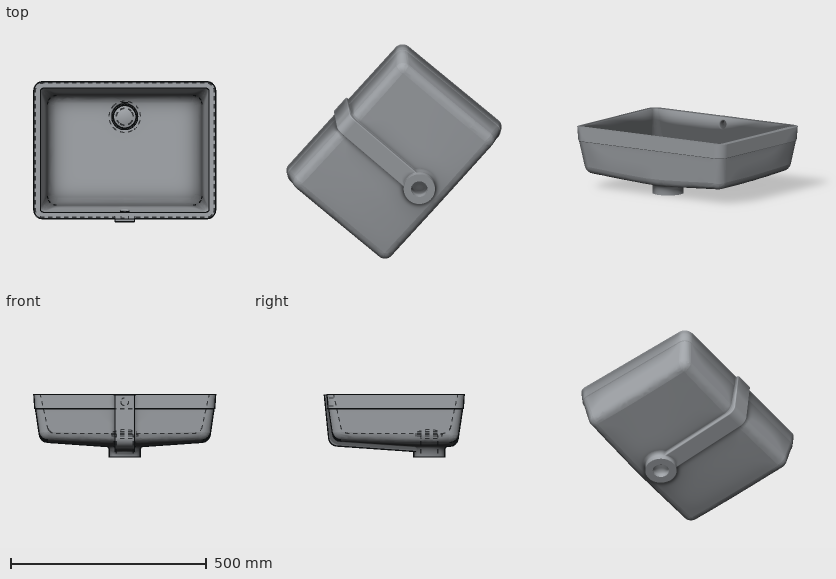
import cadquery as cq
import math


RIM_LENGTH = 465.0
RIM_WIDTH = 350.5
RIM_CORNER = 23.5
BAND_INSET = 2.5
BAND_HEIGHT = 36.0
BAND_CORNER = 23.0
LEDGE_INSET = 4.0
LEDGE_DROP = 1.5
LEDGE_CORNER = 20.5
WALL_SLOPE = 0.15
WALL_CORNER_GROWTH = 0.03
BOTTOM_EDGE_RADIUS = 23.2

DRAIN_Y = 85.5
CONE_APEX_DEPTH = 136.5
CONE_ANGLE = 4.0
OUTLET_DIAMETER = 80.0
TOTAL_HEIGHT = 160.0
OUTLET_FILLET = 7.5

RIM_LAND = 16.7
BOWL_DEPTH = 99.5
BOWL_SLOPE = 0.22
BOWL_CORNER_TOP = 9.0
BOWL_CORNER_FLOOR = 24.0
BOWL_FLOOR_RADIUS = 19.0

CHANNEL_WIDTH = 50.0
CHANNEL_PROJECTION = 7.5
CHANNEL_INNER_REACH = 26.0
CHANNEL_TOP_DROP = 1.5
CHANNEL_FACE_SLOPE = 0.1
CHANNEL_DEPTH_BELOW_CONE = 12.0
CHANNEL_BEND_RADIUS = 23.2
CHANNEL_EDGE_RADIUS = 2.5
CHANNEL_FOOT_RADIUS = 2.5
OVERFLOW_DIAMETER = 20.0
OVERFLOW_Z_DROP = 19.0
OVERFLOW_DEPTH = 18.5
OVERFLOW_EDGE_RADIUS = 3.0

SINK_EDGE_RADIUS = 3.3
SEAT_DIAMETER = 66.5
SEAT_THICKNESS = 3.5
SEAT_TOP = -BOWL_DEPTH - SINK_EDGE_RADIUS
SEAT_BOTTOM = SEAT_TOP - SEAT_THICKNESS
SLEEVE_DIAMETER = 44.0
SEAT_BORE = 42.0
PLUG_DIAMETER = 60.0
PLUG_RIM_HEIGHT = 4.0
PLUG_DOME_RISE = 5.5
PLUG_EDGE_WIDTH = 1.5
PLUG_NECK_LENGTH = 9.5

TOLERANCE = 0.005


def section_wire(inset, corner, z):
    """Rounded rectangle at height z, set in from the rim by the same amount all round."""
    length = RIM_LENGTH - 2 * inset
    width = RIM_WIDTH - 2 * inset
    outline = cq.Sketch().rect(length, width).vertices().fillet(corner).reset().faces().val()
    return outline.outerWire().translate(cq.Vector(0, 0, z))


def tapered_block(top, bottom):
    """Ruled solid between two rounded rectangles, each given as (inset, corner, z)."""
    return cq.Workplane(cq.Solid.makeLoft([section_wire(*bottom), section_wire(*top)], True))


def drain_cylinder(diameter, bottom, top):
    return cq.Workplane("XY", origin=(0, DRAIN_Y, bottom)).circle(diameter / 2).extrude(top - bottom)


def cone_depth(radius):
    """Depth of the conical underside at a distance from the drain axis."""
    return CONE_APEX_DEPTH - radius * math.tan(math.radians(CONE_ANGLE))


def lower_body():
    """Tapered outer shape below the ledge, ending in the conical underside."""
    reach = RIM_LENGTH
    ledge_z = -BAND_HEIGHT - LEDGE_DROP
    drop = TOTAL_HEIGHT + ledge_z
    body = tapered_block(
        (LEDGE_INSET, LEDGE_CORNER, ledge_z),
        (LEDGE_INSET + WALL_SLOPE * drop, LEDGE_CORNER + WALL_CORNER_GROWTH * drop, -TOTAL_HEIGHT),
    )
    cone = (
        cq.Workplane("XZ", origin=(0, DRAIN_Y, 0))
        .polyline([(0, 0), (reach, 0), (reach, -cone_depth(reach)), (0, -CONE_APEX_DEPTH)])
        .close()
        .revolve(360, (0, 0, 0), (0, 1, 0))
    )
    body = body.intersect(cone)
    return body.faces("<Z").edges().fillet(BOTTOM_EDGE_RADIUS)


def upper_band():
    """Slightly tapered band below the rim, with the small ledge under it."""
    band_z = -BAND_HEIGHT
    ledge_z = band_z - LEDGE_DROP
    band = tapered_block((0, RIM_CORNER, 0), (BAND_INSET, BAND_CORNER, band_z))
    ledge = tapered_block((BAND_INSET, BAND_CORNER, band_z), (LEDGE_INSET, LEDGE_CORNER, ledge_z))
    return band.union(ledge)


def outlet():
    """Drain tube below the basin, with a concave round up to the conical underside."""
    radius = OUTLET_DIAMETER / 2
    flare = radius + OUTLET_FILLET
    flare_z = -cone_depth(flare)
    tube_z = -cone_depth(radius) - OUTLET_FILLET
    return (
        cq.Workplane("XZ", origin=(0, DRAIN_Y, 0))
        .moveTo(0, -TOTAL_HEIGHT)
        .lineTo(radius, -TOTAL_HEIGHT)
        .lineTo(radius, tube_z)
        .radiusArc((flare, flare_z), OUTLET_FILLET)
        .lineTo(flare, SEAT_BOTTOM)
        .lineTo(0, SEAT_BOTTOM)
        .close()
        .revolve(360, (0, 0, 0), (0, 1, 0))
    )


def channel():
    """Overflow channel down the front wall and along the underside to the outlet."""
    face_y = -RIM_WIDTH / 2 - CHANNEL_PROJECTION
    bottom_slope = math.tan(math.radians(CONE_ANGLE))
    apex_z = -CONE_APEX_DEPTH - CHANNEL_DEPTH_BELOW_CONE
    drop = (-apex_z - bottom_slope * (DRAIN_Y - face_y)) / (1 - bottom_slope * CHANNEL_FACE_SLOPE)
    corner_y = face_y + CHANNEL_FACE_SLOPE * drop
    inner_y = face_y + CHANNEL_INNER_REACH
    outline = [
        (face_y, -CHANNEL_TOP_DROP),
        (corner_y, -drop),
        (DRAIN_Y, apex_z),
        (DRAIN_Y, SEAT_BOTTOM),
        (inner_y, SEAT_BOTTOM),
        (inner_y, -CHANNEL_TOP_DROP),
    ]
    block = (
        cq.Workplane("YZ", origin=(-CHANNEL_WIDTH / 2, 0, 0))
        .polyline(outline)
        .close()
        .extrude(CHANNEL_WIDTH)
    )
    bend = cq.selectors.NearestToPointSelector((0, corner_y, -drop))
    block = block.edges(bend).fillet(CHANNEL_BEND_RADIUS)
    middle = drop / 2
    for x in (-CHANNEL_WIDTH / 2, CHANNEL_WIDTH / 2):
        on_front_edge = (x, face_y + CHANNEL_FACE_SLOPE * middle, -middle)
        front_edge = cq.selectors.NearestToPointSelector(on_front_edge)
        block = block.edges(front_edge).fillet(CHANNEL_EDGE_RADIUS)
    return block


def add_channel(body):
    """Joins the channel to the basin and rounds the inner corners along its two feet."""

    def is_foot(edge):
        middle = edge.positionAt(0.5)
        off_side = abs(abs(middle.x) - CHANNEL_WIDTH / 2) + edge.BoundingBox().xlen
        off_basin = body.val().distance(cq.Vertex.makeVertex(*middle.toTuple()))
        return off_side < TOLERANCE and off_basin < TOLERANCE

    joined = body.union(channel())
    return joined.edges().filter(is_foot).fillet(CHANNEL_FOOT_RADIUS)


def bowl():
    """Cavity of the basin, with walls that slope in to a flat floor."""
    cavity = tapered_block(
        (RIM_LAND, BOWL_CORNER_TOP, 0),
        (RIM_LAND + BOWL_SLOPE * BOWL_DEPTH, BOWL_CORNER_FLOOR, -BOWL_DEPTH),
    )
    return cavity.faces("<Z").edges().fillet(BOWL_FLOOR_RADIUS)


def cut_overflow_hole(body):
    """Blind round hole into the front wall of the bowl, with a rounded mouth."""
    wall_y = -RIM_WIDTH / 2 + RIM_LAND + BOWL_SLOPE * OVERFLOW_Z_DROP
    hole = (
        cq.Workplane("XZ", origin=(0, wall_y + OVERFLOW_DIAMETER, -OVERFLOW_Z_DROP))
        .circle(OVERFLOW_DIAMETER / 2)
        .extrude(OVERFLOW_DIAMETER + OVERFLOW_DEPTH)
    )
    mouth = cq.selectors.NearestToPointSelector((0, wall_y, -OVERFLOW_Z_DROP))
    return body.cut(hole).edges(mouth).fillet(OVERFLOW_EDGE_RADIUS)


def sink():
    """Recess in the bowl floor: a rounded mouth above the pocket that holds the seat."""
    pocket = SEAT_DIAMETER / 2
    mouth = pocket + SINK_EDGE_RADIUS
    return (
        cq.Workplane("XZ", origin=(0, DRAIN_Y, 0))
        .moveTo(0, -BOWL_DEPTH)
        .lineTo(mouth, -BOWL_DEPTH)
        .radiusArc((pocket, SEAT_TOP), -SINK_EDGE_RADIUS)
        .lineTo(pocket, SEAT_BOTTOM)
        .lineTo(0, SEAT_BOTTOM)
        .close()
        .revolve(360, (0, 0, 0), (0, 1, 0))
    )


def make_basin():
    body = lower_body().union(upper_band()).union(outlet())
    body = add_channel(body).cut(bowl()).cut(sink())
    body = cut_overflow_hole(body)
    return body.cut(drain_cylinder(SLEEVE_DIAMETER, -TOTAL_HEIGHT, -BOWL_DEPTH))


def make_seat():
    """Flanged drain seat lining the outlet."""
    flange = drain_cylinder(SEAT_DIAMETER, SEAT_BOTTOM, SEAT_TOP)
    sleeve = drain_cylinder(SLEEVE_DIAMETER, -TOTAL_HEIGHT, SEAT_TOP)
    return flange.union(sleeve).cut(drain_cylinder(SEAT_BORE, -TOTAL_HEIGHT, SEAT_TOP))


def make_plug():
    """Domed plug resting on the seat, with a neck that fits the bore of the seat."""
    rim_z = -BOWL_DEPTH + PLUG_RIM_HEIGHT
    apex_z = rim_z + PLUG_DOME_RISE
    dome = PLUG_DIAMETER / 2 - PLUG_EDGE_WIDTH
    dome_radius = (dome**2 + PLUG_DOME_RISE**2) / (2 * PLUG_DOME_RISE)
    cap = (
        cq.Workplane("XZ", origin=(0, DRAIN_Y, 0))
        .moveTo(0, SEAT_TOP)
        .lineTo(PLUG_DIAMETER / 2, SEAT_TOP)
        .lineTo(PLUG_DIAMETER / 2, rim_z - PLUG_EDGE_WIDTH)
        .lineTo(dome, rim_z)
        .radiusArc((0, apex_z), -dome_radius)
        .close()
        .revolve(360, (0, 0, 0), (0, 1, 0))
    )
    return cap.union(drain_cylinder(SEAT_BORE, SEAT_TOP - PLUG_NECK_LENGTH, SEAT_TOP))


basin = make_basin()
seat = make_seat()
plug = make_plug()
result = cq.Compound.makeCompound([basin.val(), seat.val(), plug.val()])